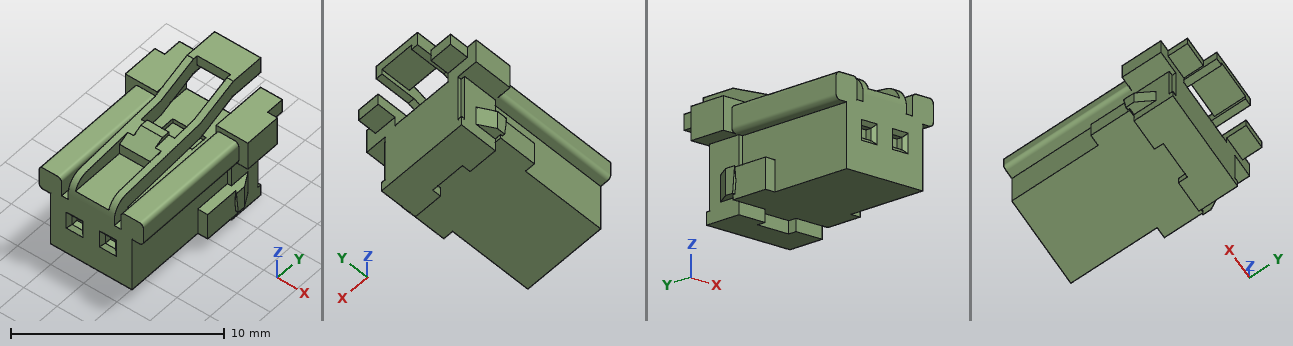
import cadquery as cq
import math


overall_width = 7.4
overall_length = 10.9
overall_height = 6.95

body_width = 4.93
body_bottom_z = 0.65
rail_bottom_z = 3.95
rail_top_z = 5.33
rail_width = 6.3
rail_fillet = 0.25
well_width = 3.58
well_floor_z = 4.21

flange_front_y = 7.1
flange_rear_y = 9.3
flange_width = 5.41
flange_top_z = 5.65
step_y = 9.09
ear_rear_y = 10.4
ear_width = 6.21
ear_bottom_z = 4.85
notch_width = 2.01
notch_depth = 0.5

latch_width = 6.13
latch_front_y = 4.89
latch_top_z = 2.25
tooth_width = 6.43
tooth_bottom_z = 0.92
tooth_front_top_y = 6.85
tooth_front_bottom_y = 6.98
undercut_tip_z = 1.57
tooth_ramp_y = 7.45
tooth_rear_y = 8.35

contact_pitch = 2.01
contact_z = 2.78
contact_mouth = 1.02
contact_bore = 0.61
contact_taper_depth = 0.2
contact_depth = 0.56

groove_width = 2.01
groove_front_y = 6.28
groove_rear_y = 7.3
groove_depth = 0.25

lever_width = 2.79
opening_width = 2.01
lever_slope = 0.083
lever_nose_radius = 1.0
root_y = 1.0
knee_y = 6.41
knee_z = 6.05
bend_y = 8.86
under_knee_y = 6.44
under_knee_z = 5.11
under_bend_y = 8.82
under_rear_z = 6.0
deck_z = 4.94
window_rear_y = 9.12
handle_bottom_z = 6.34

catch_front_y = 3.34
catch_front_z = 5.54
catch_crest_y = 4.5
catch_top_z = 6.11
catch_width = 1.31
catch_rear_y = 4.97
crossbar_foot_y = 5.11


def block(width, y_start, y_end, z_start, z_end):
    """Box centred on X = 0."""
    size = (width, y_end - y_start, z_end - z_start)
    return cq.Workplane("XY").box(*size, centered=(True, False, False)).translate((0, y_start, z_start))


def side_profile(points, width):
    """Outline of (y, z) points extruded symmetrically about X = 0."""
    return cq.Workplane("YZ").polyline(points).close().extrude(width / 2, both=True)


def make_body():
    rails = block(rail_width, 0, flange_rear_y, rail_bottom_z, rail_top_z)
    rails = rails.edges("|Y").fillet(rail_fillet)
    return rails.union(block(body_width, 0, flange_rear_y, body_bottom_z, rail_top_z - rail_fillet))


def make_flange():
    head = block(overall_width, flange_front_y, flange_rear_y, rail_bottom_z, flange_top_z)
    ears = block(ear_width, flange_front_y, ear_rear_y, ear_bottom_z, flange_top_z)
    sides = block(flange_width, flange_front_y, step_y, 0, rail_bottom_z)
    lip = block(flange_width, flange_front_y, flange_rear_y, 0, body_bottom_z)
    notch = block(notch_width, flange_front_y, flange_front_y + notch_depth, 0, body_bottom_z)
    return head.union(ears).union(sides).union(lip).cut(notch)


def make_tooth_undercut():
    """Cutter for the facet that leans the top of the +X tooth's front face back towards the bar."""
    outer_x = tooth_width / 2
    inner_x = latch_width / 2
    front_lean = (tooth_front_bottom_y - tooth_front_top_y) / (latch_top_z - tooth_bottom_z)
    drop = latch_top_z - undercut_tip_z
    top_triangle = cq.Wire.makePolygon(
        [
            cq.Vector(outer_x, tooth_front_top_y, latch_top_z),
            cq.Vector(inner_x, tooth_front_top_y, latch_top_z),
            cq.Vector(inner_x, tooth_front_bottom_y, latch_top_z),
        ],
        close=True,
    )
    sweep = cq.Vector(inner_x - outer_x, front_lean * drop, -drop)
    return cq.Workplane(cq.Solid.extrudeLinear(top_triangle, [], sweep))


def make_latches():
    bar = block(latch_width, latch_front_y, flange_front_y, body_bottom_z, latch_top_z)
    tooth_outline = [
        (-tooth_width / 2, tooth_front_top_y),
        (-tooth_width / 2, tooth_ramp_y),
        (-flange_width / 2, tooth_rear_y),
        (flange_width / 2, tooth_rear_y),
        (tooth_width / 2, tooth_ramp_y),
        (tooth_width / 2, tooth_front_top_y),
    ]
    tooth_height = latch_top_z - tooth_bottom_z
    teeth = (
        cq.Workplane("XY").workplane(offset=tooth_bottom_z)
        .polyline(tooth_outline).close().extrude(tooth_height)
    )
    slanted_front = [
        (tooth_front_top_y, tooth_bottom_z),
        (tooth_front_bottom_y, tooth_bottom_z),
        (tooth_front_top_y, latch_top_z),
    ]
    teeth = teeth.cut(side_profile(slanted_front, tooth_width))
    undercut = make_tooth_undercut()
    teeth = teeth.cut(undercut).cut(undercut.mirror("YZ"))
    return bar.union(teeth)


def make_well():
    """Cutter for the space between the rails and the groove in its floor."""
    well = block(well_width, 0, ear_rear_y, well_floor_z, overall_height)
    groove = block(groove_width, groove_front_y, groove_rear_y, well_floor_z - groove_depth, well_floor_z)
    round_z = rail_top_z - rail_fillet
    mouth = block(well_width + 2 * rail_fillet, 0, flange_front_y, round_z, rail_top_z)
    for side in (-1, 1):
        rod = (
            cq.Workplane("XZ").center(side * (well_width / 2 + rail_fillet), round_z)
            .circle(rail_fillet).extrude(-flange_front_y)
        )
        mouth = mouth.cut(rod)
    return well.union(mouth).union(groove)


def make_contact_opening(x):
    """Cutter for a tapered square mouth leading into a blind square bore."""
    face = cq.Workplane("XZ").center(x, contact_z)
    taper = (
        face.rect(contact_mouth, contact_mouth).workplane(offset=-contact_taper_depth)
        .rect(contact_bore, contact_bore).loft(ruled=True)
    )
    bore = face.rect(contact_bore, contact_bore).extrude(-contact_depth)
    return taper.union(bore)


def make_lever():
    nose_z = knee_z - lever_slope * knee_y
    under_root_z = under_knee_z - lever_slope * (under_knee_y - root_y)
    slope_angle = math.atan(lever_slope)
    nose_setback = lever_nose_radius * math.tan((math.pi / 2 - slope_angle) / 2)
    nose_end_y = nose_setback * math.cos(slope_angle)
    nose_end_z = nose_z + nose_setback * math.sin(slope_angle)
    lever = (
        cq.Workplane("YZ")
        .moveTo(0, well_floor_z)
        .lineTo(0, nose_z - nose_setback)
        .tangentArcPoint((nose_end_y, nose_end_z), relative=False)
        .lineTo(knee_y, knee_z)
        .lineTo(bend_y, overall_height)
        .lineTo(overall_length, overall_height)
        .lineTo(overall_length, under_rear_z)
        .lineTo(under_bend_y, under_rear_z)
        .lineTo(under_knee_y, under_knee_z)
        .lineTo(root_y, under_root_z)
        .lineTo(root_y, well_floor_z)
        .close()
        .extrude(lever_width / 2, both=True)
    )
    pocket = block(opening_width, 0, catch_front_y, deck_z, overall_height)
    crossbar_foot_z = under_knee_z - lever_slope * (under_knee_y - crossbar_foot_y)
    window = [
        (catch_rear_y, overall_height),
        (catch_rear_y, knee_z - lever_slope * (knee_y - catch_rear_y)),
        (crossbar_foot_y, crossbar_foot_z),
        (crossbar_foot_y, well_floor_z),
        (window_rear_y, well_floor_z),
        (window_rear_y, overall_height),
    ]
    handle_channel = block(opening_width, window_rear_y, overall_length, under_rear_z, handle_bottom_z)
    above_ramp = [
        (catch_front_y, catch_front_z),
        (catch_crest_y, catch_top_z),
        (catch_front_y, catch_top_z),
    ]
    lever = lever.cut(pocket).cut(side_profile(window, opening_width)).cut(handle_channel)
    lever = lever.cut(side_profile(above_ramp, opening_width))
    catch = [
        (catch_front_y, catch_front_z),
        (catch_crest_y, catch_top_z),
        (catch_rear_y, catch_top_z),
        (catch_rear_y, catch_front_z),
    ]
    return lever.union(side_profile(catch, catch_width))


housing = make_body().union(make_flange()).cut(make_well()).union(make_latches())
for side in (-1, 1):
    opening_x = side * contact_pitch / 2
    housing = housing.cut(make_contact_opening(opening_x))

result = housing.union(make_lever())